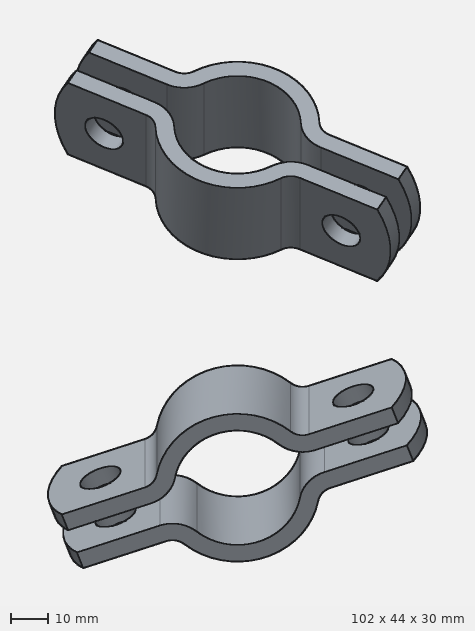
import cadquery as cq
import math

thickness = 5.0
width = 30.0
length = 102.0
bore_radius = 17.0
gap = 7.0
saddle_angle = 30.0
end_radius = 30.0
hole_diameter = 11.5
hole_edge_distance = 15.0

ring_radius = bore_radius + thickness
flange_inner_y = gap / 2
flange_outer_y = flange_inner_y + thickness
half_length = length / 2
hole_x = half_length - hole_edge_distance

sin_saddle = math.sin(math.radians(saddle_angle))
cos_saddle = math.cos(math.radians(saddle_angle))
bend_inner_radius = (ring_radius * sin_saddle - flange_outer_y) / (1 - sin_saddle)
bend_outer_radius = bend_inner_radius + thickness
bend_center_distance = ring_radius + bend_inner_radius
bend_center_x = bend_center_distance * cos_saddle
bend_center_y = bend_center_distance * sin_saddle

end_corner_x = half_length - end_radius + math.sqrt(end_radius**2 - (width / 2) ** 2)


def ring_point(radius, side):
    """Point where the ring of this radius meets the bend; side is +1 or -1 in X."""
    return (side * radius * cos_saddle, radius * sin_saddle)


def bend_mid_point(radius, side):
    """Middle of a bend arc, halfway between the ring joint and the flange."""
    mid_angle = math.radians((saddle_angle + 90) / 2)
    return (
        side * (bend_center_x - radius * math.cos(mid_angle)),
        bend_center_y - radius * math.sin(mid_angle),
    )


def make_strip():
    """Bent strip with square ends, on the +Y side."""
    return (
        cq.Workplane("XY")
        .workplane(offset=-width / 2)
        .moveTo(-half_length, flange_outer_y)
        .lineTo(-bend_center_x, flange_outer_y)
        .threePointArc(bend_mid_point(bend_inner_radius, -1), ring_point(ring_radius, -1))
        .threePointArc((0, ring_radius), ring_point(ring_radius, 1))
        .threePointArc(bend_mid_point(bend_inner_radius, 1), (bend_center_x, flange_outer_y))
        .lineTo(half_length, flange_outer_y)
        .lineTo(half_length, flange_inner_y)
        .lineTo(bend_center_x, flange_inner_y)
        .threePointArc(bend_mid_point(bend_outer_radius, 1), ring_point(bore_radius, 1))
        .threePointArc((0, bore_radius), ring_point(bore_radius, -1))
        .threePointArc(bend_mid_point(bend_outer_radius, -1), (-bend_center_x, flange_inner_y))
        .lineTo(-half_length, flange_inner_y)
        .close()
        .extrude(width)
    )


def make_end_envelope():
    """Block along Y with rounded ends that trims the flange tips."""
    return (
        cq.Workplane("XZ")
        .moveTo(-end_corner_x, -width / 2)
        .lineTo(end_corner_x, -width / 2)
        .threePointArc((half_length, 0), (end_corner_x, width / 2))
        .lineTo(-end_corner_x, width / 2)
        .threePointArc((-half_length, 0), (-end_corner_x, -width / 2))
        .close()
        .extrude(ring_radius, both=True)
    )


def make_bolt_holes():
    """Cylinders along Y, one for each flange."""
    return (
        cq.Workplane("XZ")
        .pushPoints([(-hole_x, 0), (hole_x, 0)])
        .circle(hole_diameter / 2)
        .extrude(ring_radius, both=True)
    )


def make_clamp_half(turn):
    """One clamp half, turned about Z by the given degrees."""
    half = make_strip().intersect(make_end_envelope()).cut(make_bolt_holes())
    return half.rotate((0, 0, 0), (0, 0, 1), turn)


clamp_halves = [make_clamp_half(turn) for turn in (0, 180)]

result = cq.Compound.makeCompound([half.solids().val() for half in clamp_halves])